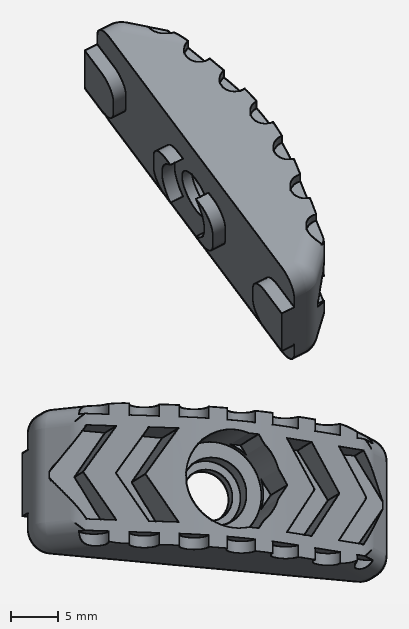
import cadquery as cq
import math

LENGTH = 39.88
WIDTH = 15.25
BODY_HEIGHT = 9.05
EDGE_RADIUS = 2.5

CROWN_RADIUS = 29.9
SLOPE_ANGLE = math.radians(13)
BEVEL_START = 2.5
BEVEL_TOP_RADIUS = 3.6

FOOT_HEIGHT = 1.55
FOOT_WIDTH = 6.85
FOOT_RADIUS = 2.4
END_FOOT_LENGTH = 5.82
LUG_SPAN = 11.95
LUG_BORE_DIAMETER = 8.57

HOLE_DIAMETER = 5.55
SEAT_DIAMETER = 7.35
SEAT_FLOOR = 1.2
COUNTERBORE_DIAMETER = 10.7
COUNTERBORE_FLOOR = 3.0

SCALLOP_RADIUS = 1.6
SCALLOP_DEPTH = 1.28
SCALLOP_PITCH = 5.22
SCALLOP_COUNT = 7
FIRST_SCALLOP_X = -16.45

CHANNEL_FLOOR = 3.6
CHANNEL_WIDTH = 3.07
CHANNEL_PITCH = 6.45
CHANNEL_HALF_SPAN = WIDTH / 2 - EDGE_RADIUS
CHEVRON_ANGLE = math.radians(34)
OUTER_CHEVRON_COUNT = 2
HOLE_CHEVRON_X = -3.1

ARC_END_X = CROWN_RADIUS * math.sin(SLOPE_ANGLE)
ARC_END_Y = BODY_HEIGHT - CROWN_RADIUS * (1 - math.cos(SLOPE_ANGLE))
BEVEL_END_X = (
    BEVEL_START + LENGTH / 2 - ARC_END_Y - ARC_END_X * math.tan(SLOPE_ANGLE)
) / (1 - math.tan(SLOPE_ANGLE))
BEVEL_END_Y = BEVEL_START + LENGTH / 2 - BEVEL_END_X


def back_height(x):
    """Height of the unfilleted back above the mounting face at x."""
    distance = abs(x)
    if distance <= ARC_END_X:
        return BODY_HEIGHT - CROWN_RADIUS + math.sqrt(CROWN_RADIUS**2 - distance**2)
    if distance <= BEVEL_END_X:
        return ARC_END_Y - (distance - ARC_END_X) * math.tan(SLOPE_ANGLE)
    return BEVEL_START + LENGTH / 2 - distance


def make_body():
    half = LENGTH / 2
    prism = (
        cq.Workplane("XY")
        .moveTo(-half, 0)
        .lineTo(half, 0)
        .lineTo(half, BEVEL_START)
        .lineTo(BEVEL_END_X, BEVEL_END_Y)
        .lineTo(ARC_END_X, ARC_END_Y)
        .threePointArc((0, BODY_HEIGHT), (-ARC_END_X, ARC_END_Y))
        .lineTo(-BEVEL_END_X, BEVEL_END_Y)
        .lineTo(-half, BEVEL_START)
        .close()
        .extrude(WIDTH / 2, both=True)
    )
    prism = prism.faces("<X or >X").edges("|Z").edges(">Y").fillet(EDGE_RADIUS)
    rounded_sides = prism.edges("|Y").fillet(EDGE_RADIUS)
    rounded_tops = prism.edges("|Z").edges(">>Y[-2]").fillet(BEVEL_TOP_RADIUS)
    return rounded_sides.intersect(rounded_tops)


def foot_block(x_min, x_max):
    """Full-width foot between two x positions, reaching down from the mounting face."""
    return (
        cq.Workplane("XY")
        .box(x_max - x_min, FOOT_HEIGHT, FOOT_WIDTH, centered=(False, False, True))
        .translate((x_min, -FOOT_HEIGHT, 0))
    )


def make_end_feet():
    inner = END_FOOT_LENGTH - LENGTH / 2
    left = foot_block(-LENGTH / 2, inner).edges("|Y and >X").fillet(FOOT_RADIUS)
    return left.union(left.mirror("YZ"))


def y_cylinder(diameter, y_min, y_max):
    return (
        cq.Workplane("XZ", origin=(0, y_min, 0))
        .circle(diameter / 2)
        .extrude(y_min - y_max)
    )


def make_lugs():
    block = foot_block(-LUG_SPAN / 2, LUG_SPAN / 2).edges("|Y").fillet(FOOT_RADIUS)
    return block.cut(y_cylinder(LUG_BORE_DIAMETER, -FOOT_HEIGHT, 0))


def make_scallops():
    centres = []
    for index in range(SCALLOP_COUNT):
        x = FIRST_SCALLOP_X + index * SCALLOP_PITCH
        centres.append((x, back_height(x)))
    upper = (
        cq.Workplane("XY", origin=(0, 0, WIDTH / 2 - SCALLOP_DEPTH))
        .pushPoints(centres)
        .circle(SCALLOP_RADIUS)
        .extrude(SCALLOP_DEPTH)
    )
    return upper.union(upper.mirror("XY"))


def make_chevron(point_x):
    """Channel whose inner edge comes to a point at point_x, aimed towards -X."""
    sweep = CHANNEL_HALF_SPAN * math.tan(CHEVRON_ANGLE)
    outline = [
        (point_x, 0),
        (point_x + sweep, CHANNEL_HALF_SPAN),
        (point_x + sweep - CHANNEL_WIDTH, CHANNEL_HALF_SPAN),
        (point_x - CHANNEL_WIDTH, 0),
        (point_x + sweep - CHANNEL_WIDTH, -CHANNEL_HALF_SPAN),
        (point_x + sweep, -CHANNEL_HALF_SPAN),
    ]
    return (
        cq.Workplane("XZ", origin=(0, CHANNEL_FLOOR, 0))
        .polyline(outline)
        .close()
        .extrude(CHANNEL_FLOOR - BODY_HEIGHT)
    )


def make_channels():
    channels = make_chevron(HOLE_CHEVRON_X)
    for index in range(1, OUTER_CHEVRON_COUNT + 1):
        chevron = make_chevron(HOLE_CHEVRON_X - index * CHANNEL_PITCH)
        channels = channels.union(chevron).union(chevron.mirror("YZ"))
    return channels


def make_screw_hole():
    hole = y_cylinder(HOLE_DIAMETER, 0, BODY_HEIGHT)
    seat = y_cylinder(SEAT_DIAMETER, SEAT_FLOOR, BODY_HEIGHT)
    counterbore = y_cylinder(COUNTERBORE_DIAMETER, COUNTERBORE_FLOOR, BODY_HEIGHT)
    return hole.union(seat).union(counterbore)


result = make_body()
result = result.cut(make_scallops()).cut(make_channels()).cut(make_screw_hole())
result = result.union(make_end_feet()).union(make_lugs())